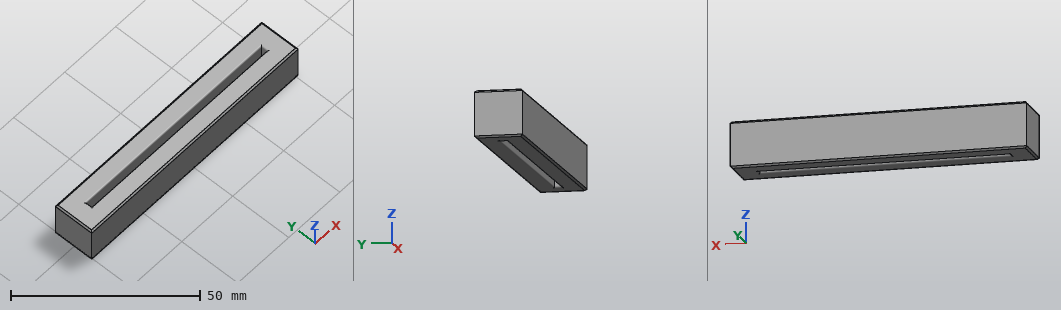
import cadquery as cq

bar_length = 81
bar_width = 13
bar_height = 12.7
rim_chamfer = 0.51

slot_length = 68.7
slot_width = 1.95
slot_rounding = 0.46
clearance = 0.1


def make_chamfered_bar():
    """Rectangular bar with the rims of its top and bottom faces chamfered."""
    bar = cq.Workplane("XY").box(bar_length, bar_width, bar_height)
    return bar.faces("<Z or >Z").edges().chamfer(rim_chamfer)


def cut_slot(bar):
    """Cut the narrow slot through the bar and round over both of its mouths."""
    slot = cq.Workplane("XY").box(slot_length, slot_width, bar_height)
    slotted = bar.cut(slot)
    mouth_edges = cq.selectors.BoxSelector(
        (-slot_length / 2 - clearance, -slot_width / 2 - clearance, -bar_height),
        (slot_length / 2 + clearance, slot_width / 2 + clearance, bar_height),
    )
    return slotted.faces("<Z or >Z").edges(mouth_edges).fillet(slot_rounding)


slotted_bar = cut_slot(make_chamfered_bar())

result = cq.Compound.makeCompound([slotted_bar.val()])